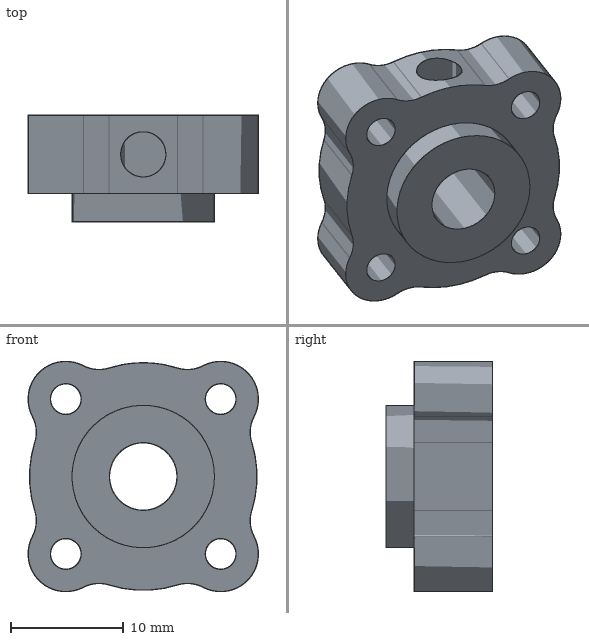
import cadquery as cq
import math

overall_width = 20.57
hole_pitch = 13.82
screw_hole_diameter = 2.72
side_radius = 10.16
blend_radius = 3.0
flange_thickness = 7.0
hub_diameter = 12.71
hub_height = 2.53
bore_diameter = 6.0
set_screw_diameter = 4.03

lobe_offset = hole_pitch / 2
lobe_radius = (overall_width - hole_pitch) / 2

lobe_distance = math.hypot(lobe_offset, lobe_offset)
blend_distance = side_radius + blend_radius
lobe_to_blend = lobe_radius + blend_radius
blend_from_diagonal = math.acos(
    (lobe_distance**2 + blend_distance**2 - lobe_to_blend**2)
    / (2 * lobe_distance * blend_distance)
)
diagonal_angle = math.pi / 4


def polar(radius, angle):
    return (radius * math.cos(angle), radius * math.sin(angle))


def toward(start, end, distance):
    """Point at a distance from start on the line to end."""
    ratio = distance / math.dist(start, end)
    return tuple(a + (b - a) * ratio for a, b in zip(start, end))


def flange_outline():
    """Four corner lobes joined to four bulging sides by hollow blends."""
    side_end_angle = diagonal_angle - blend_from_diagonal
    outline = cq.Workplane("XZ").moveTo(*polar(side_radius, -side_end_angle))
    for quarter in range(4):
        side_angle = quarter * math.pi / 2
        corner_angle = side_angle + diagonal_angle
        origin = (0, 0)
        lobe = polar(lobe_distance, corner_angle)
        blend_in = polar(blend_distance, corner_angle - blend_from_diagonal)
        blend_out = polar(blend_distance, corner_angle + blend_from_diagonal)
        lobe_start = toward(lobe, blend_in, lobe_radius)
        lobe_end = toward(lobe, blend_out, lobe_radius)
        side_end = toward(origin, blend_in, side_radius)
        next_side_start = toward(origin, blend_out, side_radius)

        def blend_middle(blend, first, last):
            chord_middle = tuple((a + b) / 2 for a, b in zip(first, last))
            return toward(blend, chord_middle, blend_radius)

        outline = (
            outline.threePointArc(polar(side_radius, side_angle), side_end)
            .threePointArc(blend_middle(blend_in, side_end, lobe_start), lobe_start)
            .threePointArc(polar(lobe_distance + lobe_radius, corner_angle), lobe_end)
            .threePointArc(blend_middle(blend_out, lobe_end, next_side_start), next_side_start)
        )
    return outline.close()


flange = flange_outline().extrude(-flange_thickness)
hub = cq.Workplane("XZ").circle(hub_diameter / 2).extrude(hub_height)

screw_holes = (
    cq.Workplane("XZ")
    .rect(hole_pitch, hole_pitch, forConstruction=True)
    .vertices()
    .circle(screw_hole_diameter / 2)
    .extrude(-flange_thickness)
)

bore = (
    cq.Workplane("XZ", origin=(0, -hub_height, 0))
    .circle(bore_diameter / 2)
    .extrude(-(hub_height + flange_thickness))
)

set_screw_hole = (
    cq.Workplane("XY", origin=(0, flange_thickness / 2, 0))
    .circle(set_screw_diameter / 2)
    .extrude(overall_width / 2)
)

result = flange.union(hub).cut(screw_holes).cut(bore).cut(set_screw_hole)